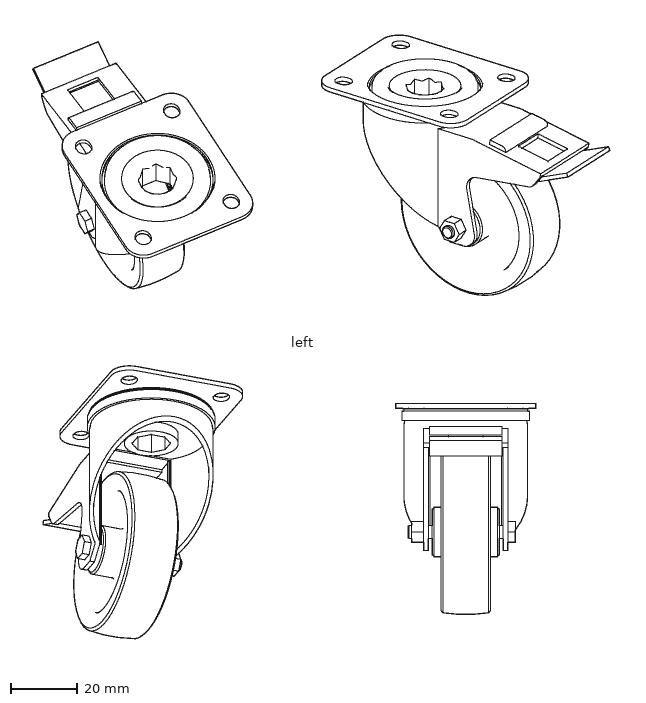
import cadquery as cq
import math


PLATE_LENGTH = 52.5
PLATE_WIDTH = 42.5
PLATE_THICKNESS = 1.5
PLATE_CORNER_RADIUS = 6.0
SLOT_LENGTH = 5.4
SLOT_WIDTH = 4.7
SLOT_SPACING_X = 39.1
SLOT_SPACING_Y = 30.1

BARREL_RADIUS = 18.8
CAVITY_RADIUS = 17.5
COLLAR_RADIUS = 19.0
RING_RADIUS = 19.4
LEDGE_RADIUS = 16.9
BEAD_OUTER_RADIUS = 16.1
BEAD_CREST_RADIUS = 13.7
BEAD_INNER_RADIUS = 11.4
DISC_RADIUS = 10.9
SHOULDER_RADIUS = 18.5
BEAD_TOP = -0.2
DISC_TOP = -2.2
LEDGE_TOP = -2.4
GROOVE_FLOOR = -3.5
COLLAR_BOTTOM = -1.7
RING_TOP = -2.35
RING_BOTTOM = -5.2
BARREL_TOP = -6.5
ROOF_BOTTOM = -7.6
KINGPIN_DIAMETER = 16.3
KINGPIN_BOTTOM = -10.7
OCTAGON_FLATS = 10.8
OCTAGON_SIDES = 8
OCTAGON_LIP_RADIUS = 1.1

AXLE_X = -20.5
AXLE_Z = -38.9
WHEEL_RADIUS = 25.0
TREAD_EDGE_RADIUS = 24.5
TREAD_HALF_WIDTH = 6.95
WHEEL_HALF_WIDTH = 7.6
WHEEL_FACE_RADIUS = 23.7
RIM_RADIUS = 18.8
RIM_FILLET = 1.65
WEB_HALF_THICKNESS = 1.0
HUB_RADIUS = 15.0 / 2
HUB_HALF_WIDTH = 10.2
HUB_ROOT_FILLET = 2.3
HUB_END_FILLET = 0.5
BORE_DIAMETER = 4.2

BOLT_DIAMETER = 4.0
HEX_CORNERS = 7.3
HEAD_HEIGHT = 2.3
NUT_HEIGHT = 3.65
BOLT_END_Y = 17.55
BOLT_END_CHAMFER = 0.35

FORK_HALF_WIDTH = 12.8
LEG_THICKNESS = 1.5
LEG_BACK_X = -13.0
LEG_BOTTOM = -44.6
SLANT_ANGLE = math.radians(42.7)
SLANT_END_Z = -10.6
LEG_FILLET = 4.35
NOSE_FILLET = 3.0
NOSE_CORNER = (-48.4, -17.55)
THROAT_CORNER = (-23.55, -20.6)
HEEL_CORNER = (-28.15, LEG_BOTTOM)

COVER_SLOPE = math.radians(10)
COVER_THICKNESS = 1.4
COVER_BEND_X = -26.4
COVER_FRONT_X = -51.7
COVER_STEP_X = -19.5
TAIL_THICKNESS = 0.5
WINDOW_FRONT_X = -49.1
WINDOW_BACK_X = -36.8
WINDOW_WIDTH = 10.3

LEVER_WIDTH = 22.1
LEVER_THICKNESS = 1.3
PEDAL_FRONT_X = -60.65
PEDAL_TIP_Z = -10.1
PEDAL_ANGLE = math.radians(23)
PEDAL_BEND_X = -49.7
LEVER_REAR = (-36.8, -10.7)
TONGUE_FRONT_X = -38.15
PAD_FRONT_X = -37.6
PAD_ROUND_END_X = -35.9
PAD_BACK_X = -31.8
PAD_HEIGHT = 1.6
PAD_SINK = 0.2


def extruded_profile(profile, width):
    """Extrude an XZ profile symmetrically about Y = 0."""
    return profile.extrude(width / 2, both=True)


def cover_top(x):
    """Height of the sloping upper face of the brake cover."""
    return ROOF_BOTTOM + (x - COVER_BEND_X) * math.tan(COVER_SLOPE)


def cover_underside(x):
    """Height of the sloping lower face of the brake cover."""
    return cover_top(x) - COVER_THICKNESS / math.cos(COVER_SLOPE)


def cover_front_foot():
    """Lower front corner of the cover, square to its upper face."""
    foot_x = COVER_FRONT_X + COVER_THICKNESS * math.sin(COVER_SLOPE)
    return foot_x, cover_underside(foot_x)


def cover_inner_bend():
    """Corner where the lower face of the cover bends from level to sloping."""
    bend_x = COVER_BEND_X + COVER_THICKNESS * math.tan(COVER_SLOPE / 2)
    return bend_x, ROOF_BOTTOM - COVER_THICKNESS


def slant_z(x):
    """Height of the slanted lower edge of the fork."""
    return SLANT_END_Z + (x - BARREL_RADIUS) * math.tan(SLANT_ANGLE)


def slant_x(z):
    """X where the slanted lower edge reaches height z."""
    return BARREL_RADIUS + (z - SLANT_END_Z) / math.tan(SLANT_ANGLE)


def make_plate():
    """Mounting plate with four slots and a round opening for the swivel head."""
    plate = (
        cq.Workplane("XY")
        .box(PLATE_LENGTH, PLATE_WIDTH, PLATE_THICKNESS, centered=(True, True, False))
        .translate((0, 0, -PLATE_THICKNESS))
        .edges("|Z")
        .fillet(PLATE_CORNER_RADIUS)
    )
    slots = (
        cq.Workplane("XY")
        .rarray(SLOT_SPACING_X, SLOT_SPACING_Y, 2, 2)
        .slot2D(SLOT_LENGTH, SLOT_WIDTH)
        .extrude(-PLATE_THICKNESS)
    )
    opening = cq.Workplane("XY").circle(BARREL_RADIUS).extrude(-PLATE_THICKNESS)
    return plate.cut(slots).cut(opening)


def make_head():
    """Swivel head: pressed plate rim, groove, raised bead, race ring and fork roof."""
    rim_round = BARREL_RADIUS - CAVITY_RADIUS
    bead_out = BEAD_OUTER_RADIUS - BEAD_CREST_RADIUS
    bead_in = BEAD_CREST_RADIUS - BEAD_INNER_RADIUS
    bead_in_drop = BEAD_TOP - DISC_TOP
    diagonal = math.sqrt(0.5)
    shell = (
        cq.Workplane("XZ")
        .moveTo(0, DISC_TOP)
        .lineTo(DISC_RADIUS, DISC_TOP)
        .lineTo(BEAD_INNER_RADIUS, DISC_TOP + BEAD_INNER_RADIUS - DISC_RADIUS)
        .threePointArc(
            (BEAD_CREST_RADIUS - bead_in * diagonal, BEAD_TOP - bead_in_drop * (1 - diagonal)),
            (BEAD_CREST_RADIUS, BEAD_TOP),
        )
        .threePointArc(
            (BEAD_CREST_RADIUS + bead_out * diagonal, BEAD_TOP - bead_out * (1 - diagonal)),
            (BEAD_OUTER_RADIUS, BEAD_TOP - bead_out),
        )
        .lineTo(BEAD_OUTER_RADIUS, GROOVE_FLOOR)
        .lineTo(LEDGE_RADIUS, GROOVE_FLOOR)
        .lineTo(LEDGE_RADIUS, LEDGE_TOP)
        .lineTo(CAVITY_RADIUS, LEDGE_TOP)
        .lineTo(CAVITY_RADIUS, -rim_round)
        .radiusArc((BARREL_RADIUS, 0), rim_round)
        .lineTo(BARREL_RADIUS, -PLATE_THICKNESS)
        .lineTo(COLLAR_RADIUS, -PLATE_THICKNESS)
        .lineTo(COLLAR_RADIUS, COLLAR_BOTTOM)
        .lineTo(BARREL_RADIUS, COLLAR_BOTTOM)
        .lineTo(BARREL_RADIUS, RING_TOP)
        .lineTo(RING_RADIUS, RING_TOP)
        .lineTo(RING_RADIUS, RING_BOTTOM)
        .lineTo(SHOULDER_RADIUS, RING_BOTTOM)
        .lineTo(BARREL_RADIUS, BARREL_TOP)
        .lineTo(CAVITY_RADIUS, BARREL_TOP)
        .lineTo(CAVITY_RADIUS, ROOF_BOTTOM)
        .lineTo(0, ROOF_BOTTOM)
        .close()
        .revolve(360, (0, 0, 0), (0, 1, 0))
    )
    kingpin = (
        cq.Workplane("XY", origin=(0, 0, ROOF_BOTTOM))
        .circle(KINGPIN_DIAMETER / 2)
        .extrude(KINGPIN_BOTTOM - ROOF_BOTTOM)
    )
    return shell.union(kingpin)


def make_octagon_hole():
    """Through hole of octagonal section, flats square to X and Y, with a rounded mouth."""
    flats_radius = OCTAGON_FLATS / 2
    half_step = math.pi / OCTAGON_SIDES
    corner_radius = flats_radius / math.cos(half_step)
    corners = []
    for side in range(OCTAGON_SIDES):
        angle = (2 * side + 1) * half_step
        corners.append((corner_radius * math.cos(angle), corner_radius * math.sin(angle)))
    prism = (
        cq.Workplane("XY", origin=(0, 0, KINGPIN_BOTTOM))
        .polyline(corners)
        .close()
        .extrude(-KINGPIN_BOTTOM)
    )
    mouth = (
        cq.Workplane("XZ")
        .moveTo(0, DISC_TOP)
        .lineTo(flats_radius + OCTAGON_LIP_RADIUS, DISC_TOP)
        .radiusArc((flats_radius, DISC_TOP - OCTAGON_LIP_RADIUS), -OCTAGON_LIP_RADIUS)
        .lineTo(0, DISC_TOP - OCTAGON_LIP_RADIUS)
        .close()
        .revolve(360, (0, 0, 0), (0, 1, 0))
    )
    return prism.union(mouth)


def make_barrel():
    """Half-open cylindrical skirt joining the two legs, cut off along the slant."""
    skirt = (
        cq.Workplane("XY", origin=(0, 0, BARREL_TOP))
        .circle(BARREL_RADIUS)
        .circle(CAVITY_RADIUS)
        .extrude(LEG_BOTTOM - BARREL_TOP)
    )
    front_x = -math.sqrt(BARREL_RADIUS**2 - FORK_HALF_WIDTH**2)
    kept_region = (
        cq.Workplane("XZ")
        .moveTo(front_x, ROOF_BOTTOM)
        .lineTo(-BARREL_RADIUS, ROOF_BOTTOM)
        .lineTo(-BARREL_RADIUS, BARREL_TOP)
        .lineTo(BARREL_RADIUS, BARREL_TOP)
        .lineTo(BARREL_RADIUS, SLANT_END_Z)
        .lineTo(front_x, slant_z(front_x))
        .close()
    )
    return skirt.intersect(extruded_profile(kept_region, 2 * BARREL_RADIUS))


def make_leg(outer_y):
    """One fork leg whose outer face lies at outer_y."""
    tail_bottom = ROOF_BOTTOM - TAIL_THICKNESS
    inward = -LEG_THICKNESS if outer_y > 0 else LEG_THICKNESS
    leg = (
        cq.Workplane("XZ", origin=(0, outer_y, 0))
        .polyline(
            [
                cover_front_foot(),
                NOSE_CORNER,
                THROAT_CORNER,
                HEEL_CORNER,
                (slant_x(LEG_BOTTOM), LEG_BOTTOM),
                (LEG_BACK_X, slant_z(LEG_BACK_X)),
                (LEG_BACK_X, tail_bottom),
                (COVER_STEP_X, tail_bottom),
                (COVER_STEP_X, ROOF_BOTTOM - COVER_THICKNESS),
                cover_inner_bend(),
            ]
        )
        .close()
        .extrude(-inward)
    )
    middle_y = outer_y + inward / 2
    for corner, radius in (
        (NOSE_CORNER, NOSE_FILLET),
        (THROAT_CORNER, LEG_FILLET),
        (HEEL_CORNER, LEG_FILLET),
    ):
        edge = cq.selectors.NearestToPointSelector((corner[0], middle_y, corner[1]))
        leg = leg.edges("|Y").edges(edge).fillet(radius)
    return leg


def make_cover():
    """Bent cover bridging the legs, with a window for the lever tongue."""
    tail_bottom = ROOF_BOTTOM - TAIL_THICKNESS
    sheet = extruded_profile(
        cq.Workplane("XZ")
        .polyline(
            [
                (COVER_FRONT_X, cover_top(COVER_FRONT_X)),
                (COVER_BEND_X, ROOF_BOTTOM),
                (LEG_BACK_X, ROOF_BOTTOM),
                (LEG_BACK_X, tail_bottom),
                (COVER_STEP_X, tail_bottom),
                (COVER_STEP_X, ROOF_BOTTOM - COVER_THICKNESS),
                cover_inner_bend(),
                cover_front_foot(),
            ]
        )
        .close(),
        2 * FORK_HALF_WIDTH,
    )
    window = (
        cq.Workplane("XY", origin=(0, 0, ROOF_BOTTOM))
        .center((WINDOW_FRONT_X + WINDOW_BACK_X) / 2, 0)
        .rect(WINDOW_BACK_X - WINDOW_FRONT_X, WINDOW_WIDTH)
        .extrude(NOSE_CORNER[1] - ROOF_BOTTOM)
    )
    return sheet.cut(window)


def make_lever():
    """Brake lever: pedal and arm under the cover, a tongue through its window, a pad on top."""
    tip_x = PEDAL_FRONT_X + LEVER_THICKNESS * math.sin(PEDAL_ANGLE)
    tip_bottom = (PEDAL_FRONT_X, PEDAL_TIP_Z - LEVER_THICKNESS * math.cos(PEDAL_ANGLE))
    bend_z = PEDAL_TIP_Z - (PEDAL_BEND_X - tip_x) * math.tan(PEDAL_ANGLE)
    bend_bottom_z = bend_z - LEVER_THICKNESS / math.cos(PEDAL_ANGLE)
    rear_bottom_z = LEVER_REAR[1] - LEVER_THICKNESS
    arm = extruded_profile(
        cq.Workplane("XZ")
        .polyline(
            [
                (tip_x, PEDAL_TIP_Z),
                (PEDAL_BEND_X, bend_z),
                LEVER_REAR,
                (LEVER_REAR[0], rear_bottom_z),
                (PEDAL_BEND_X, bend_bottom_z),
                tip_bottom,
            ]
        )
        .close(),
        LEVER_WIDTH,
    )
    tongue = extruded_profile(
        cq.Workplane("XZ")
        .polyline(
            [
                (TONGUE_FRONT_X, rear_bottom_z),
                (TONGUE_FRONT_X, cover_top(TONGUE_FRONT_X)),
                (WINDOW_BACK_X, cover_top(WINDOW_BACK_X)),
                (WINDOW_BACK_X, rear_bottom_z),
            ]
        )
        .close(),
        WINDOW_WIDTH,
    )
    round_radius = PAD_ROUND_END_X - PAD_FRONT_X
    pad_end_x = PAD_BACK_X + PAD_HEIGHT * math.sin(COVER_SLOPE)
    pad = extruded_profile(
        cq.Workplane("XZ")
        .moveTo(PAD_FRONT_X, cover_top(PAD_FRONT_X) - PAD_SINK)
        .lineTo(PAD_FRONT_X, cover_top(PAD_FRONT_X))
        .radiusArc((PAD_ROUND_END_X, cover_top(PAD_ROUND_END_X) + PAD_HEIGHT), round_radius)
        .lineTo(PAD_BACK_X, cover_top(PAD_BACK_X) + PAD_HEIGHT)
        .lineTo(pad_end_x, cover_top(PAD_BACK_X) - PAD_SINK)
        .close(),
        LEVER_WIDTH,
    )
    return arm.union(tongue).union(pad)


def make_bolt():
    """Axle bolt with a hexagon head on the -Y leg and a hexagon nut on the +Y leg."""

    def along_y(start_y):
        return cq.Workplane("XZ", origin=(AXLE_X, start_y, AXLE_Z))

    shank = (
        along_y(BOLT_END_Y)
        .circle(BOLT_DIAMETER / 2)
        .extrude(BOLT_END_Y + FORK_HALF_WIDTH)
        .faces(">Y")
        .chamfer(BOLT_END_CHAMFER)
    )
    head = along_y(-FORK_HALF_WIDTH).polygon(6, HEX_CORNERS).extrude(HEAD_HEIGHT)
    nut = along_y(FORK_HALF_WIDTH).polygon(6, HEX_CORNERS).extrude(-NUT_HEIGHT)
    return shank.union(head).union(nut)


def make_bracket():
    """Everything but the wheel, joined into one body."""
    bracket = make_plate().union(make_head()).cut(make_octagon_hole()).union(make_barrel())
    for outer_y in (-FORK_HALF_WIDTH, FORK_HALF_WIDTH):
        bracket = bracket.union(make_leg(outer_y))
    bracket = bracket.union(make_cover(), clean=False)
    bracket = bracket.union(make_lever(), clean=False)
    return bracket.union(make_bolt(), clean=False)


def make_wheel_recess():
    """Ring-shaped recess between hub and rim on the -Y side, with rounded corners."""
    return (
        cq.Workplane("XY")
        .moveTo(HUB_RADIUS - HUB_END_FILLET, -HUB_HALF_WIDTH)
        .radiusArc((HUB_RADIUS, HUB_END_FILLET - HUB_HALF_WIDTH), HUB_END_FILLET)
        .lineTo(HUB_RADIUS, -WEB_HALF_THICKNESS - HUB_ROOT_FILLET)
        .radiusArc((HUB_RADIUS + HUB_ROOT_FILLET, -WEB_HALF_THICKNESS), HUB_ROOT_FILLET)
        .lineTo(RIM_RADIUS - RIM_FILLET, -WEB_HALF_THICKNESS)
        .radiusArc((RIM_RADIUS, -WEB_HALF_THICKNESS - RIM_FILLET), RIM_FILLET)
        .lineTo(RIM_RADIUS, RIM_FILLET - WHEEL_HALF_WIDTH)
        .radiusArc((RIM_RADIUS + RIM_FILLET, -WHEEL_HALF_WIDTH), -RIM_FILLET)
        .lineTo(RIM_RADIUS + RIM_FILLET, -HUB_HALF_WIDTH)
        .close()
        .revolve(360, (0, 0, 0), (0, 1, 0))
    )


def make_wheel():
    """Wheel turned about the axle, with a crowned tread and a thin web on the middle plane."""
    hub = (
        cq.Workplane("XZ", origin=(0, HUB_HALF_WIDTH, 0))
        .circle(RIM_RADIUS + RIM_FILLET)
        .extrude(2 * HUB_HALF_WIDTH)
    )
    tyre = (
        cq.Workplane("XY")
        .moveTo(0, -WHEEL_HALF_WIDTH)
        .lineTo(WHEEL_FACE_RADIUS, -WHEEL_HALF_WIDTH)
        .lineTo(TREAD_EDGE_RADIUS, -TREAD_HALF_WIDTH)
        .threePointArc((WHEEL_RADIUS, 0), (TREAD_EDGE_RADIUS, TREAD_HALF_WIDTH))
        .lineTo(WHEEL_FACE_RADIUS, WHEEL_HALF_WIDTH)
        .lineTo(0, WHEEL_HALF_WIDTH)
        .close()
        .revolve(360, (0, 0, 0), (0, 1, 0))
    )
    recess = make_wheel_recess()
    bore = (
        cq.Workplane("XZ", origin=(0, HUB_HALF_WIDTH, 0))
        .circle(BORE_DIAMETER / 2)
        .extrude(2 * HUB_HALF_WIDTH)
    )
    wheel = tyre.union(hub).cut(recess).cut(recess.mirror("XZ")).cut(bore)
    return wheel.translate((AXLE_X, 0, AXLE_Z))


bracket = make_bracket()
wheel = make_wheel()

result = cq.Compound.makeCompound([bracket.solids().val(), wheel.solids().val()])